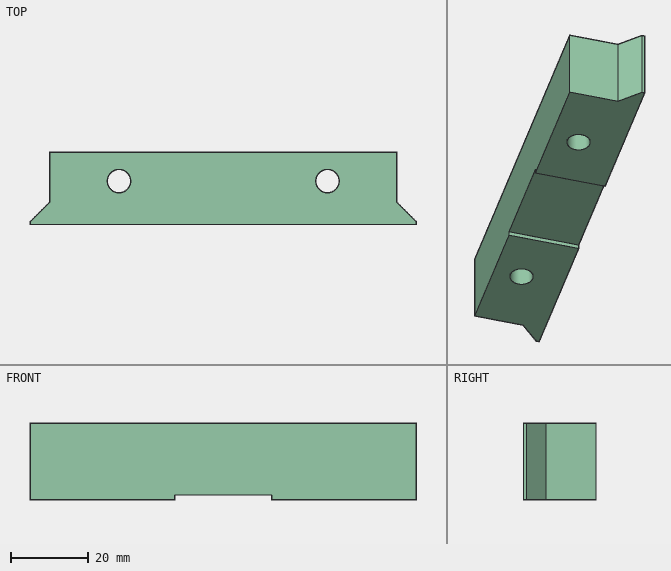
import cadquery as cq

length = 100.0
depth = 18.8
height = 19.9

flare = 5.0
lip = 0.8

hole_diameter = 6.0
hole_spacing = 54.0
hole_from_front = 11.3

relief_width = 25.0
relief_depth = 1.2

half_length = length / 2
half_body = half_length - flare
shoulder = lip + flare

bar = (
    cq.Workplane("XY")
    .moveTo(-half_length, 0)
    .lineTo(half_length, 0)
    .lineTo(half_length, lip)
    .lineTo(half_body, shoulder)
    .lineTo(half_body, depth)
    .lineTo(-half_body, depth)
    .lineTo(-half_body, shoulder)
    .lineTo(-half_length, lip)
    .close()
    .extrude(height)
)

holes = (
    cq.Workplane("XY")
    .pushPoints([(side * hole_spacing / 2, hole_from_front) for side in (-1, 1)])
    .circle(hole_diameter / 2)
    .extrude(height)
)

relief = cq.Workplane("XY").box(relief_width, depth, relief_depth, centered=(True, False, False))

result = bar.cut(holes).cut(relief)